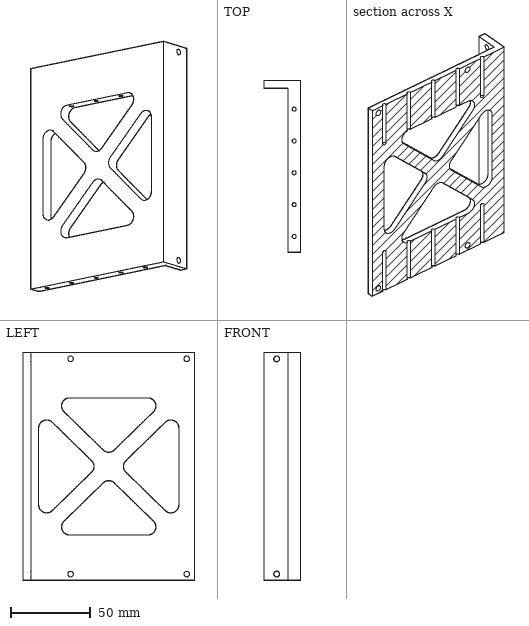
import cadquery as cq
import math

width = 23.0
length = 108.0
height = 143.23
web_thickness = 8.0
flange_thickness = 5.0

window_length = 88.0
window_height = 86.0
brace_width = 10.0
corner_radius = 5.0

flange_hole_diameter = 3.5
flange_hole_x = 8.0
hole_end_distance = 4.0

web_hole_diameter = 3.5
web_hole_depth = 6.0
web_hole_ys = (5.0, 78.0)

end_hole_diameter = 2.5
end_hole_depth = 30.0
drill_point_angle = 118.0
end_hole_count = 5
end_hole_pitch = 20.0
first_end_hole_y = 10.0

web_x = width - web_thickness
center_y = length / 2
center_z = height / 2
hole_levels = (hole_end_distance, height - hole_end_distance)


def make_bracket():
    web = cq.Workplane("XY").box(web_thickness, length, height, centered=False)
    flange = cq.Workplane("XY").box(width, flange_thickness, height, centered=False)
    return (
        web.translate((web_x, 0, 0))
        .union(flange.translate((0, length - flange_thickness, 0)))
    )


def make_window_cutter():
    """Four rounded triangles: the window rectangle minus the diagonal braces."""
    window = cq.Workplane("XY").box(web_thickness, window_length, window_height)
    brace_angle = math.degrees(math.atan2(window_height, window_length))
    brace_length = 2 * math.hypot(window_length, window_height)
    brace = cq.Workplane("XY").box(web_thickness, brace_length, brace_width)
    for angle in (brace_angle, -brace_angle):
        window = window.cut(brace.rotate((0, 0, 0), (1, 0, 0), angle))
    window = window.edges("|X").fillet(corner_radius)
    return window.translate((web_x + web_thickness / 2, center_y, center_z))


def make_hole(diameter, depth, start, direction):
    """Cylinder running from start along direction."""
    plane = cq.Plane(origin=start, normal=direction)
    return cq.Workplane(plane).circle(diameter / 2).extrude(depth)


def make_drilled_hole(diameter, depth, start, direction):
    """Cylinder running from start along direction, ending in a conical drill point."""
    radius = diameter / 2
    tip_depth = depth + radius / math.tan(math.radians(drill_point_angle / 2))
    plane = cq.Plane(origin=start, xDir=(1, 0, 0), normal=direction)
    profile = cq.Workplane(plane).transformed(rotate=(90, 0, 0))
    return (
        profile.polyline([(0, 0), (radius, 0), (radius, depth), (0, tip_depth)])
        .close()
        .revolve(360, (0, 0), (0, 1))
    )


def cut_flange_holes(body):
    for z in hole_levels:
        start = (flange_hole_x, length - flange_thickness, z)
        body = body.cut(make_hole(flange_hole_diameter, flange_thickness, start, (0, 1, 0)))
    return body


def cut_web_holes(body):
    for y in web_hole_ys:
        for z in hole_levels:
            body = body.cut(make_hole(web_hole_diameter, web_hole_depth, (web_x, y, z), (1, 0, 0)))
    return body


def cut_end_holes(body):
    x = web_x + web_thickness / 2
    for index in range(end_hole_count):
        y = first_end_hole_y + index * end_hole_pitch
        for z, direction in ((0, (0, 0, 1)), (height, (0, 0, -1))):
            hole = make_drilled_hole(end_hole_diameter, end_hole_depth, (x, y, z), direction)
            body = body.cut(hole)
    return body


bracket = make_bracket().cut(make_window_cutter())
bracket = cut_flange_holes(bracket)
bracket = cut_web_holes(bracket)
result = cut_end_holes(bracket)